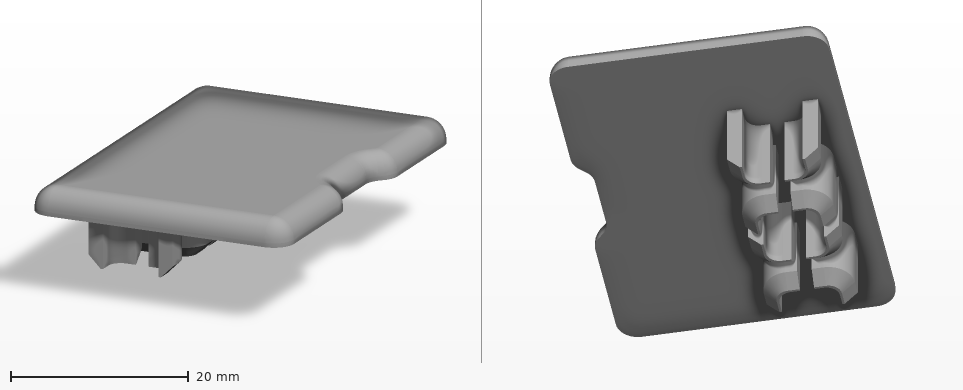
import cadquery as cq
import math

plate_width = 32.0
plate_length = 45.0
plate_thickness = 3.0
rim_land = 0.5
rim_radius = plate_thickness - rim_land
corner_radius = rim_radius

notch_depth = 2.02
notch_floor_length = 6.8
notch_inner_radius = 2.5
notch_flank_angle = math.radians(45)

leg_height = 9.0
leg_center_x = -plate_width / 4
leg_width = 10.45
leg_depth = 4.75
leg_wall = 1.75
leg_outer_radius = 3.0
leg_inner_radius = 1.55
leg_tip_chamfer = 1.5
leg_slit = 1.65
leg_pitch_y = 12.9


def cut_notch(blank):
    """Cut the notch; its flanks join a concave arc at the notch floor to a convex arc at the plate edge."""
    sin_flank = math.sin(notch_flank_angle)
    cos_flank = math.cos(notch_flank_angle)
    half_floor = notch_floor_length / 2
    floor_x = plate_width / 2 - notch_depth
    arc_rise = (notch_inner_radius + corner_radius) * (1 - cos_flank)
    flank_length = (notch_depth - arc_rise) / sin_flank

    def inner_arc_point(angle):
        return (floor_x + notch_inner_radius * (1 - math.cos(angle)),
                half_floor + notch_inner_radius * math.sin(angle))

    flank_start = inner_arc_point(notch_flank_angle)
    flank_end = (flank_start[0] + flank_length * sin_flank, flank_start[1] + flank_length * cos_flank)
    edge_center = (plate_width / 2 - corner_radius, flank_end[1] + corner_radius * sin_flank)

    def edge_arc_point(angle):
        return (edge_center[0] + corner_radius * math.cos(angle),
                edge_center[1] - corner_radius * math.sin(angle))

    inner_middle = inner_arc_point(notch_flank_angle / 2)
    edge_middle = edge_arc_point(notch_flank_angle / 2)
    edge_end = edge_arc_point(0)

    def mirrored(point):
        return (point[0], -point[1])

    notch = (
        cq.Workplane("XY")
        .moveTo(floor_x, -half_floor)
        .lineTo(floor_x, half_floor)
        .threePointArc(inner_middle, flank_start)
        .lineTo(*flank_end)
        .threePointArc(edge_middle, edge_end)
        .lineTo(*mirrored(edge_end))
        .threePointArc(mirrored(edge_middle), mirrored(flank_end))
        .lineTo(*mirrored(flank_start))
        .threePointArc(mirrored(inner_middle), (floor_x, -half_floor))
        .close()
        .extrude(plate_thickness)
    )
    return blank.cut(notch)


def make_plate():
    """Plate with rounded corners, the notch, and a rounded upper rim all around."""
    blank = (
        cq.Workplane("XY")
        .rect(plate_width, plate_length)
        .extrude(plate_thickness)
        .edges("|Z")
        .fillet(corner_radius)
    )
    return cut_notch(blank).faces(">Z").edges().fillet(rim_radius)


def rounded_block(width, depth, radius):
    """Block from Y = 0 to Y = depth below the plate, its two far upright edges rounded."""
    return (
        cq.Workplane("XY")
        .center(0, depth / 2)
        .rect(width, depth)
        .extrude(-leg_height)
        .edges("|Z and >Y")
        .fillet(radius)
    )


def make_leg_pair():
    """U-shaped wall opening toward -Y, chamfered outside at the tip and slit in two along Y."""
    outer = rounded_block(leg_width, leg_depth, leg_outer_radius)
    outer = outer.faces("<Z").edges("not <Y").chamfer(leg_tip_chamfer)
    inner = rounded_block(leg_width - 2 * leg_wall, leg_depth - leg_wall, leg_inner_radius)
    slit = cq.Workplane("XY").box(leg_slit, 4 * leg_depth, 2 * leg_height)
    return outer.cut(inner).cut(slit)


leg_pair = make_leg_pair().translate((leg_center_x, leg_slit / 2, 0))
leg_pair_flipped = leg_pair.mirror("XZ")

leg_pairs = (
    leg_pair,
    leg_pair_flipped,
    leg_pair.translate((0, -leg_pitch_y, 0)),
    leg_pair_flipped.translate((0, leg_pitch_y, 0)),
)

result = make_plate()
for pair in leg_pairs:
    result = result.union(pair)